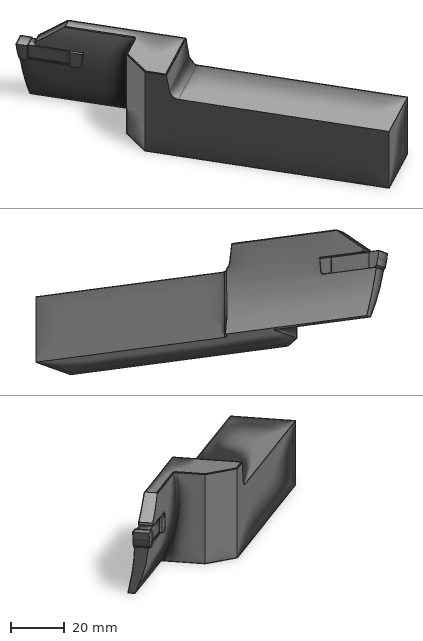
import cadquery as cq
import math

length = 150.0
shank_side = 24.9

head_height = 35.0
head_end_top = 63.9
head_end_foot = 65.7
head_foot_radius = 3.5
top_chamfer = 0.3
shoulder_x = 45.8
shoulder_chamfer = 9.9
bottom_tip_x = 3.6
nose_x = 7.2
nose_low_z = 25.6
nose_high_z = 26.7
nose_heel_x = 8.0
slope_top_x = 18.6

arc_center_z = 24.6
face_crest_y = 20.7
face_radius = 53.4
back_crest_y = 26.1
blade_bottom_back_y = 29.4
back_drop = blade_bottom_back_y - back_crest_y
back_radius = (arc_center_z**2 + back_drop**2) / (2 * back_drop)
root_fillet = 1.0

step_start_x = 65.0
step_middle = (66.0, 26.7)
step_end_x = 68.1

insert_top = shank_side
insert_bottom = 18.8
insert_kink = (0.5, 22.0)
insert_toe_corner = (1.0, 19.5)
insert_toe_x = 1.6
seat_tip_x = 1.4
insert_end_x = 25.6
insert_heel_x = 24.6
insert_heel_corner = (25.2, 19.6)
insert_front_y = 20.4
insert_back_y = 26.7
waist_start_x = 4.4
waist_end_x = 20.8
waist_front_y = 21.3
waist_back_y = 26.2
clamped_top_drop = 0.2
waist_bevel_height = 0.8
waist_bevel_depth = 0.3
seat_gap = 0.5

margin = 7.5


def arc_y(crest_y, radius, z):
    """Y of a blade face at height z."""
    return crest_y + radius - math.sqrt(radius**2 - (z - arc_center_z) ** 2)


def curved_section(crest_y, radius, edge_y, start_x, end_x):
    """Prism along X between the plane Y = edge_y and a curved blade face."""
    return (
        cq.Workplane("YZ", origin=(start_x, 0, 0))
        .moveTo(edge_y, 0)
        .lineTo(arc_y(crest_y, radius, 0), 0)
        .threePointArc((crest_y, arc_center_z), (arc_y(crest_y, radius, head_height), head_height))
        .lineTo(edge_y, head_height)
        .close()
        .extrude(end_x - start_x)
    )


def xz_prism(points, front_y, back_y):
    """Extrude an outline of X, Z points from front_y to back_y."""
    return cq.Workplane("XZ", origin=(0, front_y, 0)).polyline(points).close().extrude(front_y - back_y)


def make_side_body():
    """Holder outline in X and Z, with the rounded foot behind the head."""
    body = xz_prism(
        [
            (bottom_tip_x, 0),
            (length, 0),
            (length, shank_side),
            (head_end_foot, shank_side),
            (head_end_top, head_height),
            (slope_top_x, head_height),
            (nose_x, nose_high_z),
            (nose_x, nose_low_z),
            (nose_heel_x, insert_top + seat_gap),
            (nose_heel_x, insert_bottom),
            (seat_tip_x, insert_bottom),
        ],
        0,
        blade_bottom_back_y,
    )
    foot = cq.selectors.NearestToPointSelector((head_end_foot, blade_bottom_back_y / 2, shank_side))
    return body.edges(foot).fillet(head_foot_radius)


def make_plan():
    """Holder outline in X and Y, with the chamfered shoulder and the rear step."""
    return (
        cq.Workplane("XY")
        .moveTo(0, 0)
        .lineTo(length, 0)
        .lineTo(length, shank_side)
        .lineTo(step_end_x, shank_side)
        .threePointArc(step_middle, (step_start_x, blade_bottom_back_y))
        .lineTo(0, blade_bottom_back_y)
        .close()
        .extrude(head_height)
    )


def make_scoop():
    """Material removed in front of the blade, rounded at the blade root."""
    scoop = curved_section(face_crest_y, face_radius, -margin, -margin, shoulder_x)
    root = cq.selectors.NearestToPointSelector((shoulder_x, face_crest_y, arc_center_z))
    return scoop.edges(root).fillet(root_fillet)


def make_shoulder_corner():
    """Triangular prism that chamfers the outer shoulder corner."""
    return (
        cq.Workplane("XY")
        .polyline([
            (shoulder_x, 0),
            (shoulder_x + shoulder_chamfer, 0),
            (shoulder_x, shoulder_chamfer),
        ])
        .close()
        .extrude(head_height)
    )


def insert_outline(gap):
    """Insert outline in X and Z, with its top and upper rear corner moved out by gap."""
    return [
        (0, insert_top + gap),
        insert_kink,
        insert_toe_corner,
        (insert_toe_x, insert_bottom),
        (insert_heel_x, insert_bottom),
        insert_heel_corner,
        (insert_end_x + gap, insert_top + gap),
    ]


def make_holder():
    holder = make_side_body().intersect(make_plan())
    holder = holder.intersect(curved_section(back_crest_y, back_radius, 0, 0, length))
    holder = holder.cut(make_scoop()).cut(make_shoulder_corner())
    holder = holder.faces(">Z").edges("not <X").chamfer(top_chamfer)
    seat = xz_prism(insert_outline(seat_gap), 0, blade_bottom_back_y)
    return holder.cut(seat)


def make_insert():
    """Insert with full-width ends and a narrower waist, its top lowered behind the tip."""
    insert = xz_prism(insert_outline(0), insert_front_y, insert_back_y)
    waist_length = waist_end_x - waist_start_x
    front_relief = (
        cq.Workplane("YZ", origin=(waist_start_x, 0, 0))
        .polyline([
            (insert_front_y, insert_top),
            (waist_front_y, insert_top),
            (waist_front_y, insert_bottom + waist_bevel_height),
            (waist_front_y + waist_bevel_depth, insert_bottom),
            (insert_front_y, insert_bottom),
        ])
        .close()
        .extrude(waist_length)
    )
    back_relief = cq.Workplane("XY").box(
        waist_length, insert_back_y - waist_back_y, insert_top - insert_bottom, centered=False
    ).translate((waist_start_x, waist_back_y, insert_bottom))
    top_relief = cq.Workplane("XY").box(
        insert_end_x - waist_start_x, insert_back_y - insert_front_y, clamped_top_drop, centered=False
    ).translate((waist_start_x, insert_front_y, insert_top - clamped_top_drop))
    return insert.cut(front_relief).cut(back_relief).cut(top_relief)


holder = make_holder()
insert = make_insert()
result = cq.Compound.makeCompound([holder.val(), insert.val()])